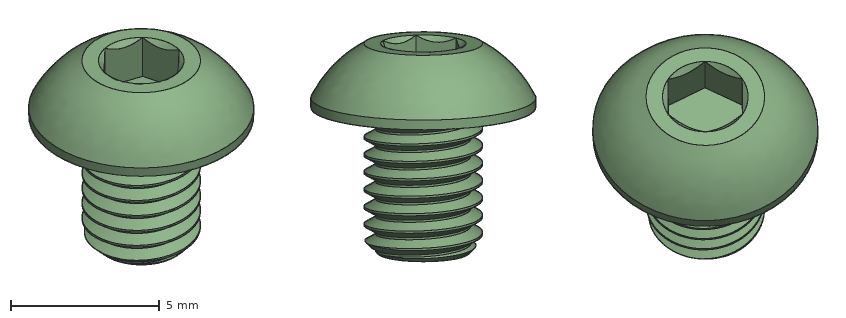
import cadquery as cq
import math

head_radius = 3.8
head_height = 2.2
rim_height = 0.335
crown_radius = 2.0
dome_bulge = 0.19

socket_flats = 2.5
socket_corners = socket_flats / math.cos(math.pi / 6)
socket_depth = 1.56

thread_radius = 2.0
shank_length = 5.0
pitch = 0.6
flank_half_angle = math.radians(30)
crest_width = pitch / 8
root_width = pitch / 8
thread_depth = (pitch - crest_width - root_width) / 2 / math.tan(flank_half_angle)
core_radius = thread_radius - thread_depth
crest_height_at_x = 0.49
tip_chamfer = 0.45
ridge_overlap = 0.04


def make_head():
    """Domed head with a straight rim, its underside at Z = 0."""
    rise = head_height - rim_height
    run = head_radius - crown_radius
    chord = math.hypot(rise, run)
    dome_middle = (
        (head_radius + crown_radius) / 2 + dome_bulge * rise / chord,
        (head_height + rim_height) / 2 + dome_bulge * run / chord,
    )
    return (
        cq.Workplane("XZ")
        .lineTo(head_radius, 0)
        .lineTo(head_radius, rim_height)
        .threePointArc(dome_middle, (crown_radius, head_height))
        .lineTo(0, head_height)
        .close()
        .revolve(360, (0, 0, 0), (0, 1, 0))
    )


def make_socket():
    """Hexagonal recess with corners on the Y axis and a 45 degree conical lead-in."""
    hexagon = (
        cq.Workplane("XY", origin=(0, 0, head_height))
        .transformed(rotate=(0, 0, 90))
        .polygon(6, socket_corners)
        .extrude(-socket_depth)
    )
    cone_height = socket_corners / 2
    lead_in = cq.Workplane(
        cq.Solid.makeCone(0, cone_height, cone_height, pnt=cq.Vector(0, 0, head_height - cone_height))
    )
    return hexagon.union(lead_in)


def make_ridge():
    """Right-handed helical ridge that runs past both ends of the shank."""
    start = crest_height_at_x - shank_length - 2 * pitch
    turns = math.ceil(shank_length / pitch) + 3
    base_radius = core_radius - ridge_overlap
    half_crest = crest_width / 2
    half_base = half_crest + (thread_depth + ridge_overlap) * math.tan(flank_half_angle)
    helix = cq.Wire.makeHelix(pitch, turns * pitch, thread_radius, center=cq.Vector(0, 0, start))
    return (
        cq.Workplane("XZ")
        .moveTo(base_radius, start - half_base)
        .lineTo(thread_radius, start - half_crest)
        .lineTo(thread_radius, start + half_crest)
        .lineTo(base_radius, start + half_base)
        .close()
        .sweep(cq.Workplane(helix), isFrenet=True)
    )


def make_shank():
    """Threaded shank below Z = 0, chamfered at its tip."""
    envelope_radius = thread_radius + tip_chamfer
    envelope = (
        cq.Workplane("XY", origin=(0, 0, -shank_length))
        .circle(envelope_radius)
        .extrude(shank_length)
        .faces("<Z")
        .chamfer(2 * tip_chamfer)
    )
    core_overrun = 4 * pitch
    core = (
        cq.Workplane("XY", origin=(0, 0, -shank_length - core_overrun))
        .circle(core_radius)
        .extrude(shank_length + 2 * core_overrun)
    )
    return core.union(make_ridge()).intersect(envelope)


result = make_head().cut(make_socket()).union(make_shank())